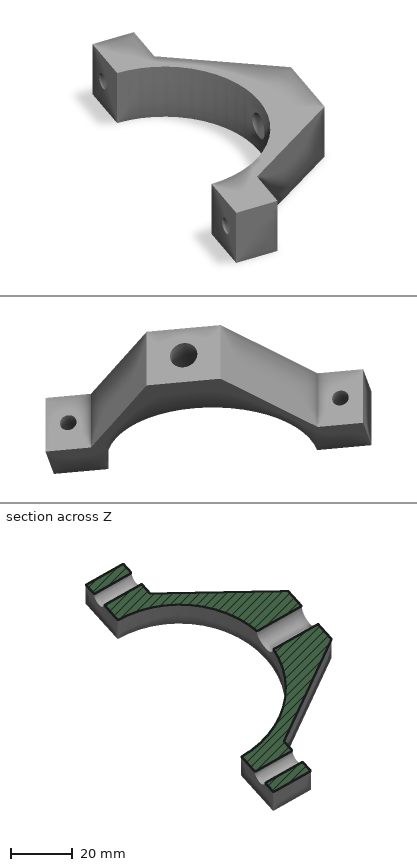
import cadquery as cq

bore_diameter = 68.8
ear_width = 18.0
ear_depth = 15.0
bracket_thickness = 20.0
bracket_height = 52.0
crown_width = 24.4
ear_ledge = 15.0
ear_hole_diameter = 5.5
ear_hole_edge_distance = 7.5
crown_hole_diameter = 9.0

bore_radius = bore_diameter / 2
half_width = bore_radius + ear_width
slope_start_x = half_width - ear_ledge
ear_hole_x = half_width - ear_hole_edge_distance


def clamp_body():
    """Half clamp with two ears, sloped flanks and a half-round bore."""
    return (
        cq.Workplane("XY")
        .moveTo(-half_width, 0)
        .lineTo(-half_width, ear_depth)
        .lineTo(-slope_start_x, ear_depth)
        .lineTo(-crown_width / 2, bracket_height)
        .lineTo(crown_width / 2, bracket_height)
        .lineTo(slope_start_x, ear_depth)
        .lineTo(half_width, ear_depth)
        .lineTo(half_width, 0)
        .lineTo(bore_radius, 0)
        .threePointArc((0, bore_radius), (-bore_radius, 0))
        .close()
        .extrude(bracket_thickness)
    )


def hole_cutter(x, diameter):
    """Cylinder along Y at mid thickness, spanning the full bracket height."""
    return (
        cq.Workplane("XZ")
        .center(x, bracket_thickness / 2)
        .circle(diameter / 2)
        .extrude(-bracket_height)
    )


result = clamp_body()
for ear_x in (-ear_hole_x, ear_hole_x):
    result = result.cut(hole_cutter(ear_x, ear_hole_diameter))
result = result.cut(hole_cutter(0, crown_hole_diameter))